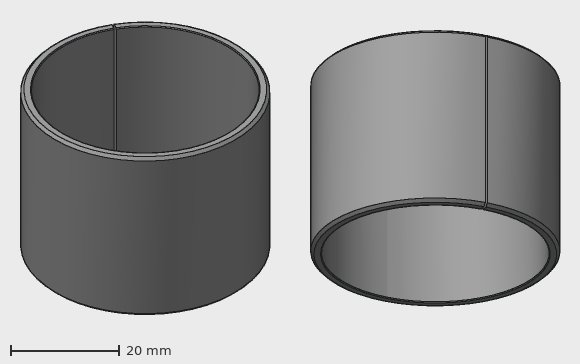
import cadquery as cq

outer_diameter = 46.0
inner_diameter = 42.0
length = 35.0
outer_chamfer = 0.6
inner_chamfer = 0.2
slit_width = 0.4

outer_radius = outer_diameter / 2
inner_radius = inner_diameter / 2
half_length = length / 2


def bushing_ring():
    """Ring revolved from its wall section, with both rims chamfered outside and inside."""
    wall_section = (
        cq.Workplane("XZ")
        .moveTo(inner_radius + inner_chamfer, -half_length)
        .lineTo(outer_radius - outer_chamfer, -half_length)
        .lineTo(outer_radius, -half_length + outer_chamfer)
        .lineTo(outer_radius, half_length - outer_chamfer)
        .lineTo(outer_radius - outer_chamfer, half_length)
        .lineTo(inner_radius + inner_chamfer, half_length)
        .lineTo(inner_radius, half_length - inner_chamfer)
        .lineTo(inner_radius, -half_length + inner_chamfer)
        .close()
    )
    return wall_section.revolve(360, (0, 0, 0), (0, 1, 0))


def slit():
    """Narrow full-length gap through the -X wall, with one face on the XZ plane."""
    return (
        cq.Workplane("XY")
        .box(outer_radius, slit_width, length, centered=(False, False, True))
        .translate((-outer_radius, 0, 0))
    )


result = bushing_ring().cut(slit())